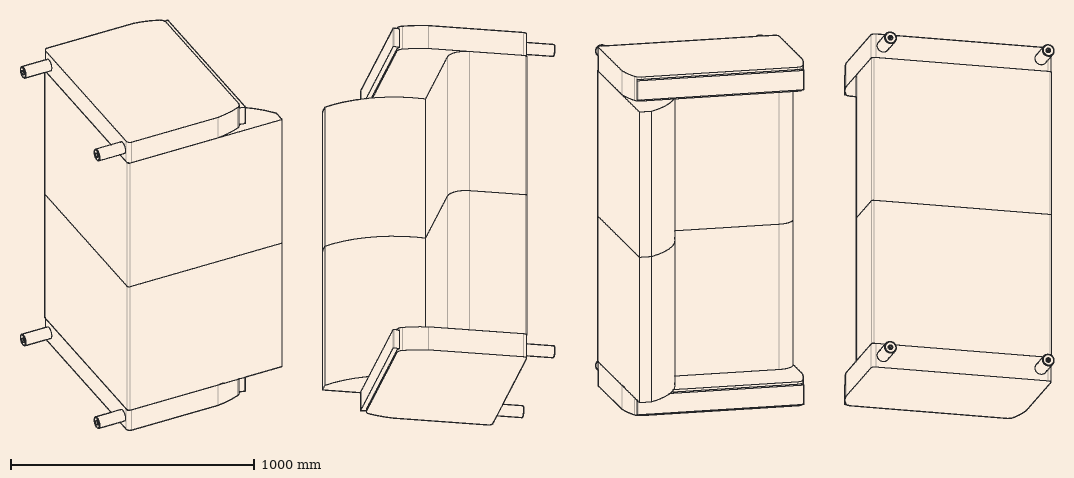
import cadquery as cq
import math

total_length = 1437.0
depth = 766.0
total_height = 830.0
leg_length = 121.0
body_height = total_height - leg_length

arm_thickness = 102.0
arm_height = 536.0
arm_shoulder_height = 414.0
arm_corner_inset = 35.0
arm_side_radius = 402.0
arm_corner_radius = 29.0
arm_base_radius = 17.0

cap_top_height = 556.0
cap_bottom_height = 523.0
cap_top_inset = 29.0
cap_bottom_inset = 36.0
cap_end_inset = 10.0
cap_edge_radius = 3.0

seat_count = 2
seat_length = (total_length - 2 * arm_thickness) / seat_count
cushion_height = 320.0
cushion_radius = 78.0
seat_base_radius = 9.0
backrest_top_width = 52.0
backrest_radius = 417.0
backrest_bulge_height = 374.0

leg_diameter = 50.0
leg_inset = 47.0
leg_chamfer = 3.0
leg_recess_diameter = 19.0
leg_recess_depth = 7.0
leg_bore_diameter = 7.9
leg_bore_depth = 15.0


def arm(base_z):
    """Slab with bowed upper sides, rounded top corners and rounded base corners."""
    slab = (
        cq.Workplane("XY", origin=(0, 0, base_z))
        .lineTo(depth, 0)
        .lineTo(depth, arm_shoulder_height)
        .radiusArc((depth - arm_corner_inset, arm_height), -arm_side_radius)
        .lineTo(arm_corner_inset, arm_height)
        .radiusArc((0, arm_shoulder_height), -arm_side_radius)
        .close()
        .extrude(arm_thickness)
    )
    slab = slab.edges("|Z and <Y").fillet(arm_base_radius)
    return slab.edges("|Z and >Y").fillet(arm_corner_radius)


def cap(arm_body, base_z):
    """Strip with undercut sides, hollowed to fit the top of its arm."""
    strip = (
        cq.Workplane("XY", origin=(0, 0, base_z + cap_end_inset))
        .moveTo(cap_bottom_inset, cap_bottom_height)
        .lineTo(depth - cap_bottom_inset, cap_bottom_height)
        .lineTo(depth - cap_top_inset, cap_top_height)
        .lineTo(cap_top_inset, cap_top_height)
        .close()
        .extrude(arm_thickness - 2 * cap_end_inset)
        .edges("|Z and >Y")
        .fillet(cap_edge_radius)
    )
    return strip.cut(arm_body)


def backrest_x(height, center_x):
    """X of the bulging backrest face at a given height."""
    return center_x - math.sqrt(backrest_radius**2 - (height - backrest_bulge_height) ** 2)


def seat(base_z):
    """Cushion and backrest in one profile, swept along the length."""
    backrest_top_x = depth - backrest_top_width
    center_x = backrest_top_x - backrest_x(body_height, 0)
    bulge_point = (center_x - backrest_radius, backrest_bulge_height)
    backrest_foot_x = backrest_x(cushion_height, center_x)
    block = (
        cq.Workplane("XY", origin=(0, 0, base_z))
        .lineTo(depth, 0)
        .lineTo(depth, body_height)
        .lineTo(backrest_top_x, body_height)
        .threePointArc(bulge_point, (backrest_foot_x, cushion_height))
        .lineTo(cushion_radius, cushion_height)
        .radiusArc((0, cushion_height - cushion_radius), -cushion_radius)
        .close()
        .extrude(seat_length)
    )
    return block.edges("|Z and <Y").fillet(seat_base_radius)


def leg(center_x, center_z):
    """Round leg with a chamfered foot and a stepped blind hole in its end."""
    post = (
        cq.Workplane("XZ", origin=(center_x, 0, center_z))
        .circle(leg_diameter / 2)
        .extrude(leg_length)
    )
    foot = post.faces("<Y").chamfer(leg_chamfer)
    foot_plane = foot.faces("<Y").workplane()
    return foot_plane.cboreHole(leg_bore_diameter, leg_recess_diameter, leg_recess_depth, leg_bore_depth)


arm_bases = [0, total_length - arm_thickness]
arms = [arm(z) for z in arm_bases]
caps = [cap(body, z) for body, z in zip(arms, arm_bases)]
seats = [seat(arm_thickness + i * seat_length) for i in range(seat_count)]
legs = [
    leg(x, z + arm_thickness / 2)
    for x in (leg_inset, depth - leg_inset)
    for z in arm_bases
]

result = cq.Compound.makeCompound([body.val() for body in arms + caps + seats + legs])